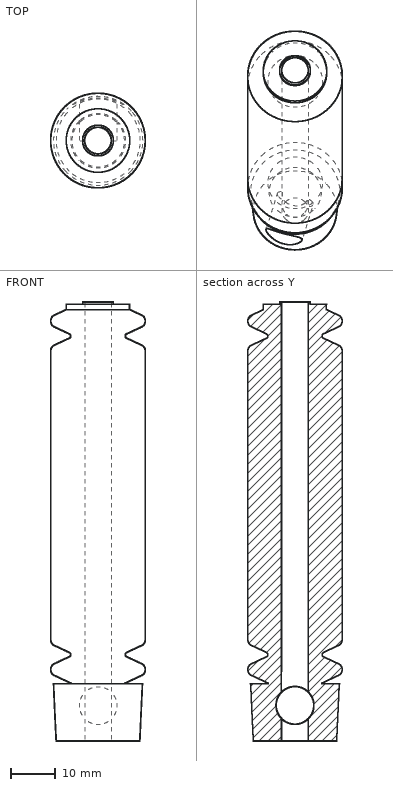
import cadquery as cq
import math

total_height = 99.47
lip_height = 0.47
collar_top = total_height - lip_height

body_diameter = 21.5
collar_diameter = 14.4
lip_diameter = 7.0
bore_diameter = 6.0
side_hole_diameter = 8.5

foot_height = 13.0
foot_top_diameter = 20.2
foot_bottom_diameter = 19.0
side_hole_height = 8.1

flank_angle = math.radians(25)
round_radius = 1.5
neck_radius = 6.2
neck_round_radius = 0.5
lower_neck_height = 19.6
upper_neck_height = 91.75

body_radius = body_diameter / 2
collar_radius = collar_diameter / 2
flank_slope = math.tan(flank_angle)
tangent_radius = body_radius - round_radius * (1 - math.sin(flank_angle))
tangent_rise = round_radius * math.cos(flank_angle)
mid_arc_angle = (math.pi / 2 - flank_angle) / 2
mid_arc_radius = body_radius - round_radius * (1 - math.cos(mid_arc_angle))
mid_arc_rise = round_radius * math.sin(mid_arc_angle)
neck_tangent_radius = neck_radius + neck_round_radius * (1 - math.sin(flank_angle))
neck_tangent_rise = neck_round_radius * math.cos(flank_angle)
flank_rise = (tangent_radius - neck_tangent_radius) * flank_slope
bead_offset = neck_tangent_rise + flank_rise + tangent_rise
lower_bead_height = lower_neck_height - bead_offset
upper_bead_height = upper_neck_height + bead_offset
body_bottom = lower_neck_height + bead_offset
body_top = upper_neck_height - bead_offset
stem_radius = tangent_radius - (lower_bead_height - tangent_rise - foot_height) / flank_slope
collar_bottom = upper_bead_height + tangent_rise + (tangent_radius - collar_radius) * flank_slope


def add_bead(outline, height):
    """Round the rim of a bead between its two conical flanks."""
    return outline.lineTo(tangent_radius, height - tangent_rise).threePointArc(
        (body_radius, height), (tangent_radius, height + tangent_rise)
    )


def add_neck(outline, height):
    """Round the bottom of a V groove between its two conical flanks."""
    return outline.lineTo(neck_tangent_radius, height - neck_tangent_rise).threePointArc(
        (neck_radius, height), (neck_tangent_radius, height + neck_tangent_rise)
    )


def make_turned_body():
    """Revolve the foot, beads, main cylinder, collar and lip in one outline."""
    outline = cq.Workplane("XZ").lineTo(foot_bottom_diameter / 2, 0)
    outline = outline.lineTo(foot_top_diameter / 2, foot_height).lineTo(stem_radius, foot_height)
    outline = add_neck(add_bead(outline, lower_bead_height), lower_neck_height)
    outline = outline.lineTo(tangent_radius, body_bottom - tangent_rise).threePointArc(
        (mid_arc_radius, body_bottom - mid_arc_rise), (body_radius, body_bottom)
    )
    outline = outline.lineTo(body_radius, body_top).threePointArc(
        (mid_arc_radius, body_top + mid_arc_rise), (tangent_radius, body_top + tangent_rise)
    )
    outline = add_bead(add_neck(outline, upper_neck_height), upper_bead_height)
    outline = outline.lineTo(collar_radius, collar_bottom).lineTo(collar_radius, collar_top)
    outline = outline.lineTo(lip_diameter / 2, collar_top).lineTo(lip_diameter / 2, total_height)
    return outline.lineTo(0, total_height).close().revolve(360, (0, 0, 0), (0, 1, 0))


def make_bore():
    """Axial bore running the full height."""
    return cq.Workplane("XY").circle(bore_diameter / 2).extrude(total_height)


def make_side_hole():
    """Radial hole from the +Y side of the foot into the bore."""
    plane = cq.Workplane("XZ").center(0, side_hole_height)
    return plane.circle(side_hole_diameter / 2).extrude(-body_radius)


result = make_turned_body().cut(make_bore()).cut(make_side_hole())